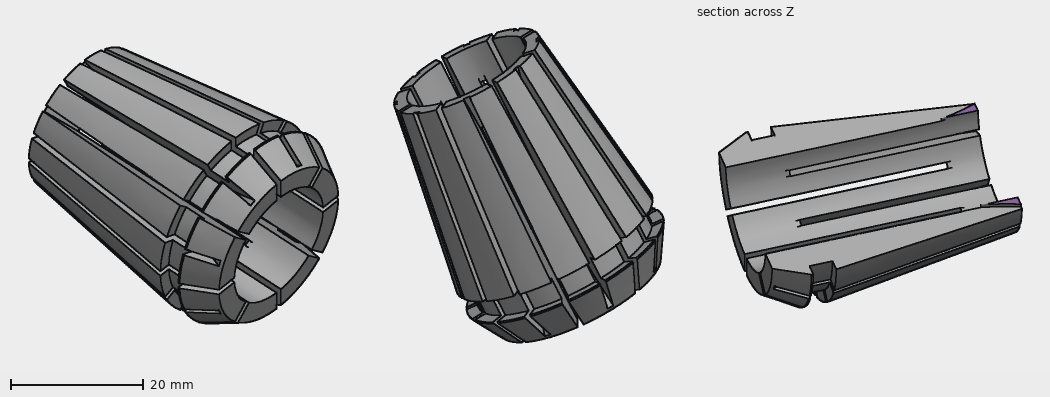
import cadquery as cq
import math

length = 40.0
max_diameter = 33.0
max_radius = max_diameter / 2
bore_radius = 10.0

rear_taper_angle = 8.0
front_taper_angle = 30.0
groove_start = 30.8
groove_end = 34.45
lip_width = 0.3
neck_radius = 14.6

slit_width = 1.0
slits_per_set = 8
slit_pitch = 360.0 / slits_per_set
cutter_radius = 40.0
front_slit_depth_radius = 9.15
rear_slit_depth_radius = 8.7
front_slit_bore_end = 5.85
rear_slit_surface_end = 39.5

clearance = 2.0


def taper_drop(run, angle):
    """Radius lost along an axial run of a cone with the given half angle."""
    return run * math.tan(math.radians(angle))


def make_body():
    """Revolve the double-tapered sleeve with its neck groove and plain bore."""
    lip_end = groove_end + lip_width
    rear_radius = max_radius - taper_drop(groove_start, rear_taper_angle)
    front_radius = max_radius - taper_drop(length - lip_end, front_taper_angle)
    profile = [
        (0, bore_radius),
        (0, rear_radius),
        (groove_start, max_radius),
        (groove_start, neck_radius),
        (groove_end, neck_radius),
        (groove_end, max_radius),
        (lip_end, max_radius),
        (length, front_radius),
        (length, bore_radius),
    ]
    return cq.Workplane("XY").polyline(profile).close().revolve(360, (0, 0, 0), (1, 0, 0))


def cutter_reach(depth_radius, radius):
    """Axial distance from the cutter centre to its rim at a given distance from the collet axis."""
    return math.sqrt(cutter_radius**2 - (depth_radius + cutter_radius - radius)**2)


def make_slit(depth_radius, cutter_center, direction):
    """Make the space swept by a cutter that comes in from one open end.

    The lowest point of the cutter runs at depth_radius from the axis and stops at cutter_center.
    The direction is +1 or -1, the way the run-out faces along X.
    """
    outer = max_radius + clearance
    middle = (depth_radius + outer) / 2
    open_end = length + clearance if direction < 0 else -clearance
    return (
        cq.Workplane("XZ")
        .moveTo(open_end, outer)
        .lineTo(open_end, depth_radius)
        .lineTo(cutter_center, depth_radius)
        .threePointArc(
            (cutter_center + direction * cutter_reach(depth_radius, middle), middle),
            (cutter_center + direction * cutter_reach(depth_radius, outer), outer),
        )
        .close()
        .extrude(slit_width / 2, both=True)
    )


def cut_slits(body, slit, first_angle):
    """Cut one evenly spaced set of slits around the axis."""
    for index in range(slits_per_set):
        angle = first_angle + index * slit_pitch
        body = body.cut(slit.rotate((0, 0, 0), (1, 0, 0), angle))
    return body


front_cutter_center = front_slit_bore_end + cutter_reach(front_slit_depth_radius, bore_radius)
front_slit = make_slit(front_slit_depth_radius, front_cutter_center, -1)

rear_slit_exit_run = rear_slit_surface_end - groove_end - lip_width
rear_slit_exit_radius = max_radius - taper_drop(rear_slit_exit_run, front_taper_angle)
rear_cutter_center = rear_slit_surface_end - cutter_reach(rear_slit_depth_radius, rear_slit_exit_radius)
rear_slit = make_slit(rear_slit_depth_radius, rear_cutter_center, 1)

result = make_body()
result = cut_slits(result, front_slit, 0)
result = cut_slits(result, rear_slit, slit_pitch / 2)